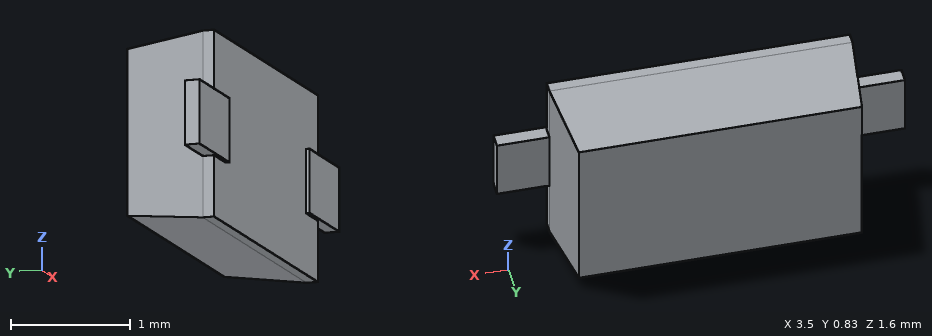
import cadquery as cq
import math

body_length = 2.6
body_height = 1.6
body_depth = 0.8
rim_depth = 0.1
draft_angle = 7.0

lead_span = 3.5
lead_length = 0.75
lead_height = 0.55
lead_thickness = 0.13
lead_standoff = 0.03

body_front = lead_standoff
rim_back = body_front + rim_depth
body_back = body_front + body_depth
draft_inset = (body_depth - rim_depth) * math.tan(math.radians(draft_angle))


def make_body():
    """Straight rim plus a block tapering evenly toward the back."""
    rim = cq.Workplane("XY").box(
        body_length, rim_depth, body_height, centered=(True, False, True)
    ).translate((0, body_front, 0))
    block = (
        cq.Workplane("XZ", origin=(0, rim_back, 0))
        .rect(body_length, body_height)
        .workplane(offset=rim_back - body_back)
        .rect(body_length - 2 * draft_inset, body_height - 2 * draft_inset)
        .loft(ruled=True)
    )
    return rim.union(block)


def make_lead(side):
    """Flat lead at the +X (side = 1) or -X (side = -1) end."""
    center_x = side * (lead_span - lead_length) / 2
    return cq.Workplane("XY").box(
        lead_length, lead_thickness, lead_height, centered=(True, False, True)
    ).translate((center_x, 0, 0))


result = make_body()
for side in (-1, 1):
    result = result.union(make_lead(side))